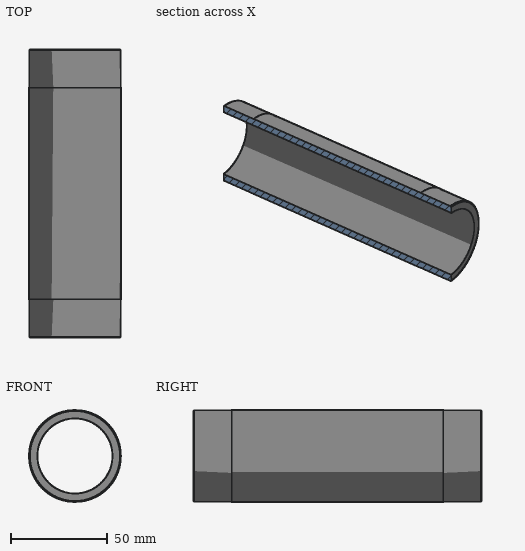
import cadquery as cq

length = 150.0
body_diameter = 48.0
end_diameter = 47.8
bore_diameter = 39.0
end_length = 20.0
end_chamfer = 0.5

body_length = length - 2 * end_length


def cylinder_along_y(diameter, height):
    """Solid cylinder centred on the origin with its axis along Y."""
    return cq.Workplane("XZ", origin=(0, height / 2, 0)).circle(diameter / 2).extrude(height)


ends = cylinder_along_y(end_diameter, length).faces("<Y or >Y").chamfer(end_chamfer)

body = cylinder_along_y(body_diameter, body_length)

bore = cylinder_along_y(bore_diameter, length)

result = ends.union(body).cut(bore)